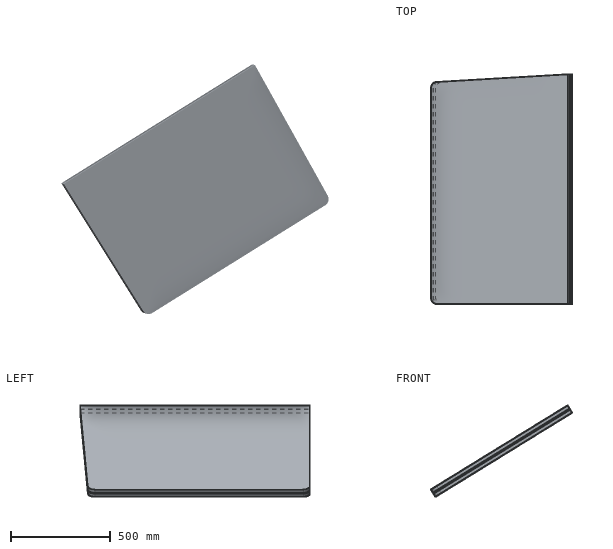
import cadquery as cq

TILT = 31.6
PLATE_LENGTH = 806.0
PLATE_WIDTH = 1153
PLATE_THICKNESS = 20.0
PLATE_GAP = 5.0
BACK_TAPER = 40.0
CORNER_RADIUS = 35.0

OUTLINE = [
    (0, 0),
    (PLATE_LENGTH, 0),
    (PLATE_LENGTH, PLATE_WIDTH),
    (0, PLATE_WIDTH - BACK_TAPER),
]


def make_plate(underside):
    """Tilted plate whose lower face is the given distance above the slope plane."""
    plate = (
        cq.Workplane("XY")
        .workplane(offset=underside)
        .polyline(OUTLINE)
        .close()
        .extrude(PLATE_THICKNESS)
    )
    plate = plate.edges("|Z and <X").fillet(CORNER_RADIUS)
    return plate.rotate((0, 0, 0), (0, 1, 0), -TILT)


plates = []
for level in range(2):
    plates.append(make_plate(level * (PLATE_THICKNESS + PLATE_GAP)).val())

result = cq.Compound.makeCompound(plates)